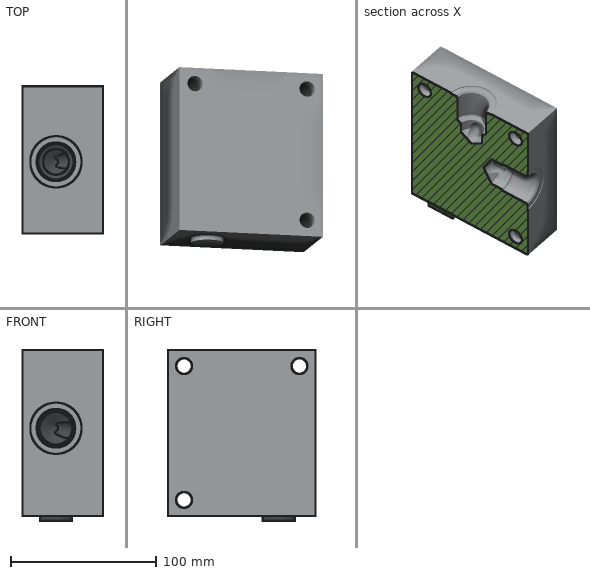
import cadquery as cq
import math

block_x = 55.58
block_y = 101.6
block_z = 114.3
overall_z = 117.63

mount_dia = 10.7
mount_inset = 11.1

port_x = 23.1
top_port_y = 49.5
front_port_z = 60.4

spotface_dia = 35.3
spotface_depth = 0.6
mouth_dia = 26.6
mouth_chamfer = 1.05
thread_dia = mouth_dia - 2 * mouth_chamfer
thread_depth = 22.0
drill_half_angle = math.radians(59)

top_pilot_dia = 17.9
front_pilot_dia = 22.6
pilot_depth = 32.0

cross_dia = 11.1
cross_length = 22.0
cross_rise = 6.4
front_cross_direction = cq.Vector(1, 0, -0.17)
top_cross_direction = cq.Vector(1, 0.1, 0)

plug_dia = 22.2
plug_y = 76.2
plug_height = overall_z - block_z


def cone_length(large_dia, small_dia=0.0):
    """Axial length of a drill-point cone between two diameters."""
    return (large_dia - small_dia) / 2 / math.tan(drill_half_angle)


def tip_depth(pilot_dia):
    """Distance from the block face to the drill-point tip."""
    return pilot_depth + cone_length(pilot_dia)


def port_cutter(pilot_dia):
    """Port revolved about Z, opening upward at the origin."""
    mouth_bottom = spotface_depth + mouth_chamfer
    thread_end = thread_depth + cone_length(thread_dia, pilot_dia)
    profile = [
        (0, 0),
        (spotface_dia / 2, 0),
        (spotface_dia / 2, -spotface_depth),
        (mouth_dia / 2, -spotface_depth),
        (thread_dia / 2, -mouth_bottom),
        (thread_dia / 2, -thread_depth),
        (pilot_dia / 2, -thread_end),
        (pilot_dia / 2, -pilot_depth),
        (0, -tip_depth(pilot_dia)),
    ]
    return cq.Workplane("XZ").polyline(profile).close().revolve(360, (0, 0), (0, 1))


def cross_drilling(start, direction):
    """Blind hole starting on the port axis."""
    return cq.Workplane(cq.Solid.makeCylinder(cross_dia / 2, cross_length, start, direction))


def top_port():
    """Port entering the +Z face, with its cross drilling."""
    port = port_cutter(top_pilot_dia).translate((port_x, top_port_y, block_z))
    start = cq.Vector(port_x, top_port_y, block_z - tip_depth(top_pilot_dia) + cross_rise)
    return port.union(cross_drilling(start, top_cross_direction))


def front_port():
    """Port entering the -Y face, with its cross drilling."""
    port = port_cutter(front_pilot_dia).rotate((0, 0, 0), (1, 0, 0), 90)
    port = port.translate((port_x, 0, front_port_z))
    start = cq.Vector(port_x, tip_depth(front_pilot_dia) - cross_rise, front_port_z)
    return port.union(cross_drilling(start, front_cross_direction))


def mounting_holes():
    """Three through holes; the corner at +Y, -Z has none."""
    near_y = mount_inset
    far_y = block_y - mount_inset
    low_z = mount_inset
    high_z = block_z - mount_inset
    centres = [(near_y, low_z), (near_y, high_z), (far_y, high_z)]
    return cq.Workplane("YZ").pushPoints(centres).circle(mount_dia / 2).extrude(block_x)


def make_block():
    """Rectangular manifold with all holes cut."""
    body = cq.Workplane("XY").box(block_x, block_y, block_z, centered=False)
    return body.cut(mounting_holes()).cut(top_port()).cut(front_port())


def make_plug():
    """Round plug head resting against the -Z face."""
    return cq.Workplane("XY").center(port_x, plug_y).circle(plug_dia / 2).extrude(-plug_height)


block = make_block()
plug = make_plug()
result = cq.Compound.makeCompound([block.val(), plug.val()])